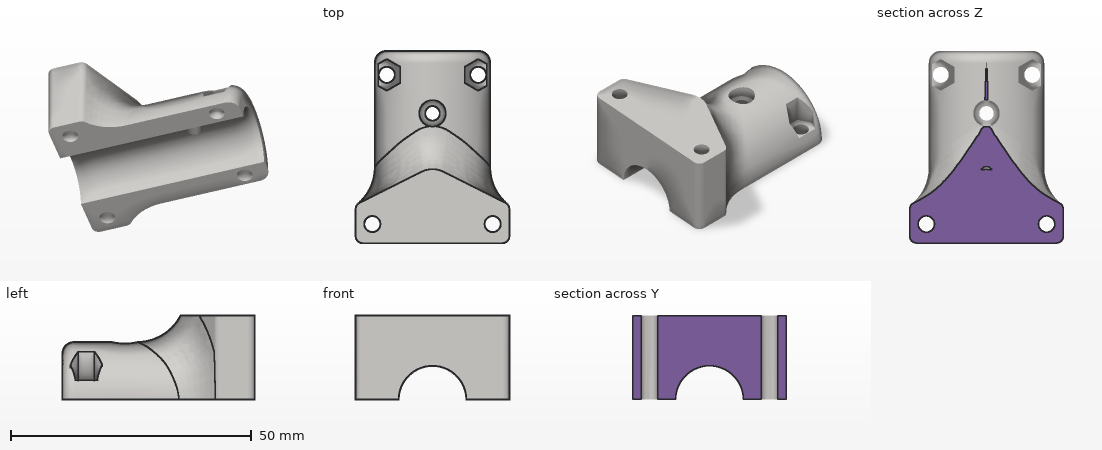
import cadquery as cq
import math

flange_width = 32.0
height = 17.5
length = 40.0

flange_side_depth = 8.0
flange_peak_depth = 16.0
ridge_radius = 5.0
corner_radius = 1.5
half_width = flange_width / 2
slope_angle = math.atan2(flange_peak_depth - flange_side_depth, half_width)
ridge_center_y = flange_peak_depth - ridge_radius / math.cos(slope_angle)
corner_center_x = half_width - corner_radius
corner_setback = corner_radius * math.tan((math.pi / 2 - slope_angle) / 2)
corner_center_y = flange_side_depth - corner_setback

body_radius = 12.0
bore_radius = 7.0
end_round = 2.5

blend_radius = 10.0
path_radius = body_radius + blend_radius
patch_steps = 6
bisection_steps = 40
sink_depth = 2.0
seam_gap = 0.003
seam_turn = 0.001

screw_diameter = 3.3
flange_screw_x = 12.5
flange_screw_y = 4.0
nut_x = 9.5
nut_y = 35.0
nut_across_flats = 5.7
nut_seat_z = 4.0
center_hole_y = 27.0
center_hole_diameter = 3.0
counterbore_diameter = 5.5
counterbore_seat_z = 9.5


def make_flange():
    outline = [
        (-half_width, 0),
        (half_width, 0),
        (half_width, flange_side_depth),
        (0, flange_peak_depth),
        (-half_width, flange_side_depth),
    ]
    flange = cq.Workplane("XY").polyline(outline).close().extrude(height)
    flange = flange.edges("|Z and >Y").fillet(ridge_radius)
    return flange.edges("|Z and (<X or >X)").fillet(corner_radius)


def make_body():
    """Half cylinder lying along Y with a rounded far rim."""
    body = cq.Workplane("XZ").circle(body_radius).extrude(-length)
    body = body.faces(">Y").edges().fillet(end_round)
    upper_half = cq.Workplane("XY").box(
        2 * body_radius, length, body_radius, centered=(True, False, False)
    )
    return body.intersect(upper_half)


def flange_reach(z):
    """Horizontal distance from a ball centre at height z to its contact with the flange."""
    rise = max(z - height, 0)
    return math.sqrt(blend_radius**2 - rise**2)


def ridge_end_x(reach):
    """X of the ball centre where its contact passes from the ridge to the slope."""
    return (ridge_radius + reach) * math.sin(slope_angle)


def slope_end_x(reach):
    """X of the ball centre where its contact passes from the slope to the corner."""
    return corner_center_x + (corner_radius + reach) * math.sin(slope_angle)


def ball_contact(angle):
    """Ball centre at an angle from +Z about the Y axis, and its unit direction to the flange."""
    x = path_radius * math.sin(angle)
    z = path_radius * math.cos(angle)
    reach = flange_reach(z)
    if x <= ridge_end_x(reach):
        y = ridge_center_y + math.sqrt((ridge_radius + reach) ** 2 - x**2)
        flat_direction = cq.Vector(-x, ridge_center_y - y, 0).normalized()
    elif x <= slope_end_x(reach):
        y = flange_peak_depth - x * math.tan(slope_angle) + reach / math.cos(slope_angle)
        flat_direction = cq.Vector(-math.sin(slope_angle), -math.cos(slope_angle), 0)
    else:
        run = x - corner_center_x
        y = corner_center_y + math.sqrt((corner_radius + reach) ** 2 - run**2)
        flat_direction = cq.Vector(-run, corner_center_y - y, 0).normalized()
    drop = cq.Vector(0, 0, max(z - height, 0))
    return cq.Vector(x, y, z), (flat_direction * reach - drop).normalized()


def blend_section(angle):
    """Flat section: the ball's arc closed by lines sunk into the body and the flange."""
    center, to_flange = ball_contact(angle)
    to_body = cq.Vector(-math.sin(angle), 0, -math.cos(angle))
    to_flange = (to_flange + to_body * seam_turn).normalized()
    to_middle = (to_body + to_flange).normalized()

    arc_radius = blend_radius - seam_gap
    root_radius = blend_radius + sink_depth
    body_end = center + to_body * arc_radius
    arc_middle = center + to_middle * arc_radius
    flange_end = center + to_flange * arc_radius
    body_root = center + to_body * root_radius
    flange_root = center + to_flange * root_radius
    inner_root = center + to_middle * (root_radius / to_middle.dot(to_body))
    return cq.Wire.assembleEdges([
        cq.Edge.makeThreePointArc(body_end, arc_middle, flange_end),
        cq.Edge.makeLine(flange_end, flange_root),
        cq.Edge.makeLine(flange_root, inner_root),
        cq.Edge.makeLine(inner_root, body_root),
        cq.Edge.makeLine(body_root, body_end),
    ])


def blend_patch(start, end):
    """Piece of the blend lofted through sections between two angles."""
    step = (end - start) / patch_steps
    sections = [blend_section(start + step * index) for index in range(patch_steps + 1)]
    return cq.Workplane(cq.Solid.makeLoft(sections))


def find_ridge_end_angle():
    """Angle at which the ball leaves the rounded ridge, found by bisection."""
    low = 0.0
    high = math.pi / 4
    for _ in range(bisection_steps):
        angle = (low + high) / 2
        reach = flange_reach(path_radius * math.cos(angle))
        if path_radius * math.sin(angle) < ridge_end_x(reach):
            low = angle
        else:
            high = angle
    return low


def add_blend(part):
    """Add one patch across the ridge, then mirrored pairs down both sides."""
    ridge_end = find_ridge_end_angle()
    top_edge_end = math.acos(height / path_radius)
    slope_end = math.asin(slope_end_x(blend_radius) / path_radius)
    underside = math.pi / 2
    part = part.union(blend_patch(-ridge_end, ridge_end))
    limits = [ridge_end, top_edge_end, slope_end, underside]
    for start, end in zip(limits, limits[1:]):
        patch = blend_patch(start, end)
        part = part.union(patch).union(patch.mirror("YZ"))
    return part


def bore_cutter():
    return cq.Workplane("XZ").circle(bore_radius).extrude(-length)


def vertical_hole(x, y, diameter, bottom=0.0):
    """Round cutter rising from the given height through the top."""
    return cq.Workplane("XY", origin=(x, y, bottom)).circle(diameter / 2).extrude(height)


def nut_pocket(x):
    """Hexagonal cutter with two flats facing along X."""
    across_corners = nut_across_flats / math.cos(math.pi / 6)
    hexagon = cq.Workplane("XY").polygon(6, across_corners).extrude(height)
    hexagon = hexagon.rotate((0, 0, 0), (0, 0, 1), 30)
    return hexagon.translate((x, nut_y, nut_seat_z))


result = add_blend(make_flange().union(make_body()))
result = result.cut(bore_cutter())
for side in (-1, 1):
    result = result.cut(vertical_hole(side * flange_screw_x, flange_screw_y, screw_diameter))
    result = result.cut(vertical_hole(side * nut_x, nut_y, screw_diameter))
    result = result.cut(nut_pocket(side * nut_x))
result = result.cut(vertical_hole(0, center_hole_y, center_hole_diameter))
result = result.cut(vertical_hole(0, center_hole_y, counterbore_diameter, counterbore_seat_z))